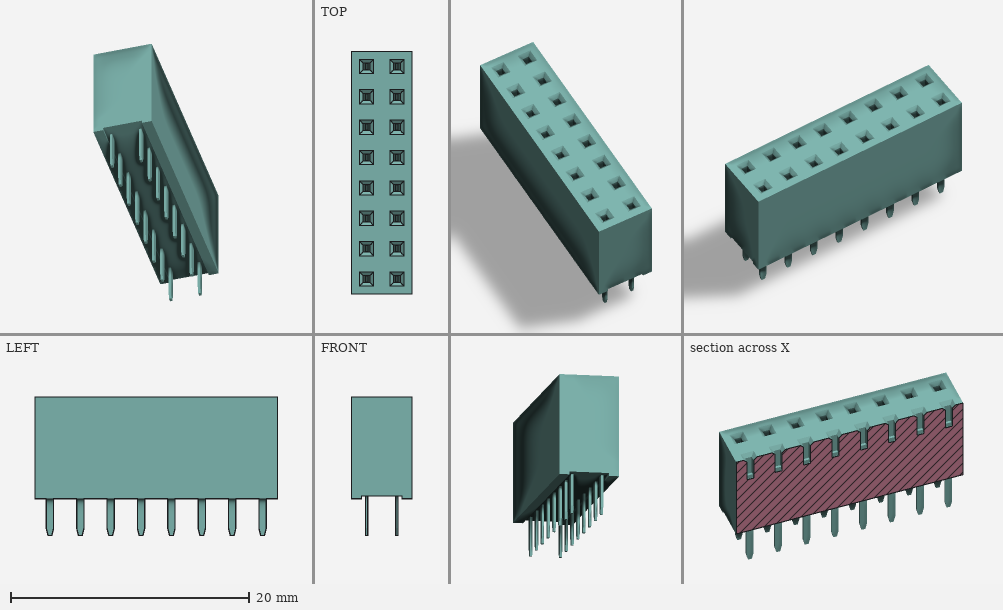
import cadquery as cq

PITCH = 2.55
COLUMNS = 2
ROWS = 8

HOUSING_WIDTH = COLUMNS * PITCH
HOUSING_LENGTH = ROWS * PITCH
HOUSING_HEIGHT = 8.53
FOOT_WIDTH = 0.85
FOOT_HEIGHT = 0.25

MOUTH_SIZE = 1.2
BORE_SIZE = 0.59
FUNNEL_DEPTH = (MOUTH_SIZE - BORE_SIZE) / 2
BORE_DEPTH = 2.03

BLADE_THICKNESS = 0.2
BLADE_WIDTH = 0.63
BLADE_REACH = 3.07
TIP_WIDTH = 0.33
TIP_LENGTH = 0.6
HEAD_WIDTH = 0.5
HEAD_HEIGHT = 0.4

FUNNEL_BOTTOM = HOUSING_HEIGHT - FUNNEL_DEPTH
SOCKET_FLOOR = FUNNEL_BOTTOM - BORE_DEPTH


def make_housing():
    """Block with a channel along the underside, leaving a foot at each long edge."""
    block = cq.Workplane("XY").box(
        HOUSING_WIDTH, HOUSING_LENGTH, HOUSING_HEIGHT, centered=(True, True, False)
    )
    channel = cq.Workplane("XY").box(
        HOUSING_WIDTH - 2 * FOOT_WIDTH, HOUSING_LENGTH, FOOT_HEIGHT, centered=(True, True, False)
    )
    return block.cut(channel)


def make_socket():
    """Square bore below a funnel that widens to the top face."""
    bore = (
        cq.Workplane("XY", origin=(0, 0, SOCKET_FLOOR))
        .rect(BORE_SIZE, BORE_SIZE)
        .extrude(BORE_DEPTH)
    )
    funnel = (
        cq.Workplane("XY", origin=(0, 0, FUNNEL_BOTTOM))
        .rect(BORE_SIZE, BORE_SIZE)
        .workplane(offset=FUNNEL_DEPTH)
        .rect(MOUTH_SIZE, MOUTH_SIZE)
        .loft(combine=True)
    )
    return bore.union(funnel)


def make_blade():
    """Flat shank down to a tapered tip below the housing, with a narrower head in the socket."""
    taper_start = TIP_LENGTH - BLADE_REACH
    shank = (
        cq.Workplane("YZ")
        .moveTo(-BLADE_WIDTH / 2, SOCKET_FLOOR)
        .lineTo(-BLADE_WIDTH / 2, taper_start)
        .lineTo(-TIP_WIDTH / 2, -BLADE_REACH)
        .lineTo(TIP_WIDTH / 2, -BLADE_REACH)
        .lineTo(BLADE_WIDTH / 2, taper_start)
        .lineTo(BLADE_WIDTH / 2, SOCKET_FLOOR)
        .close()
        .extrude(BLADE_THICKNESS / 2, both=True)
    )
    head = (
        cq.Workplane("XY", origin=(0, 0, SOCKET_FLOOR))
        .rect(BLADE_THICKNESS, HEAD_WIDTH)
        .extrude(HEAD_HEIGHT)
    )
    return shank.union(head)


def at_each_contact(shape):
    """Copies of the shape at every point of the contact grid."""
    grid = cq.Workplane("XY").rarray(PITCH, PITCH, COLUMNS, ROWS)
    return grid.eachpoint(lambda place: shape.val().moved(place), combine=False)


housing = make_housing().cut(at_each_contact(make_socket()))
result = housing.union(at_each_contact(make_blade()))